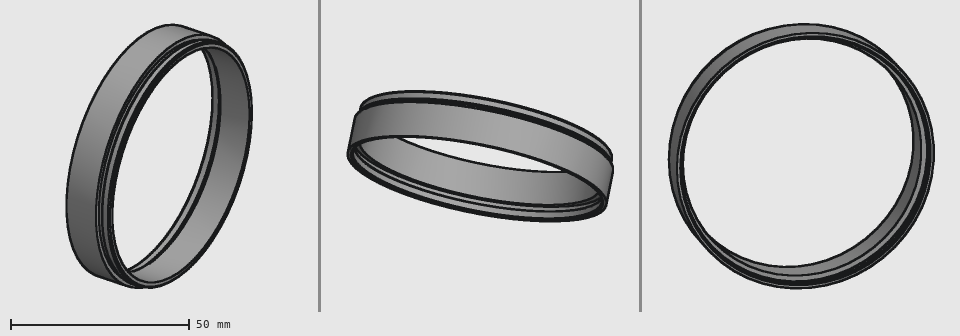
import cadquery as cq

length = 13.8
outer_diameter = 74.0
bore_diameter = 68.6

body_length = 10.0
collar_diameter = 72.0
neck_diameter = 71.1
neck_length = 1.0
collar_chamfer = (collar_diameter - neck_diameter) / 2

socket_diameter = 71.2
relief_diameter = 72.1
socket_depth = 4.0
relief_length = 1.5
socket_chamfer = (relief_diameter - socket_diameter) / 2

outer_radius = outer_diameter / 2
bore_radius = bore_diameter / 2
neck_radius = neck_diameter / 2
collar_radius = collar_diameter / 2
socket_radius = socket_diameter / 2
relief_radius = relief_diameter / 2

neck_end = body_length + neck_length
relief_start = socket_depth - relief_length


def revolve_about_x(points):
    """Turn a closed (x, radius) outline into a solid of revolution about X."""
    return cq.Workplane("XY").polyline(points).close().revolve(360, (0, 0, 0), (1, 0, 0))


def make_ring_outside():
    """Solid body, undercut neck and double-chamfered collar."""
    return revolve_about_x([
        (0, 0),
        (0, outer_radius),
        (body_length, outer_radius),
        (body_length, neck_radius),
        (neck_end, neck_radius),
        (neck_end + collar_chamfer, collar_radius),
        (length - collar_chamfer, collar_radius),
        (length, collar_radius - collar_chamfer),
        (length, 0),
    ])


def make_ring_inside():
    """Hollow volume: chamfered socket, relief groove at its floor, through bore."""
    return revolve_about_x([
        (0, 0),
        (0, socket_radius + socket_chamfer),
        (socket_chamfer, socket_radius),
        (relief_start, socket_radius),
        (relief_start, relief_radius),
        (socket_depth, relief_radius),
        (socket_depth, bore_radius),
        (length, bore_radius),
        (length, 0),
    ])


result = make_ring_outside().cut(make_ring_inside())